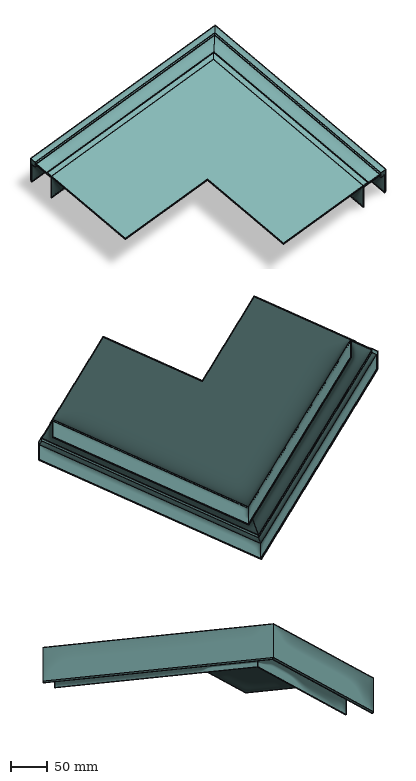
import cadquery as cq
SIZE = 347.5
HEIGHT = 50.0
MITRE_OVERSHOOT = 3.5

FRAME_WIDTH = 42.7
SKIRT_THICKNESS = 2.5
SKIRT_BEVEL_HEIGHT = 2.0
SKIRT_BEVEL_WIDTH = 1.7
HEAD_WIDTH = 9.5
HEAD_DEPTH = 10.8
WEB_THICKNESS = 3.5
RECESS_DEPTH = 1.5
LEDGE_DEPTH = 0.52
LEDGE_WIDTH = 2.5
RECESS_END = 34.5
RECESS_SLOPE_WIDTH = 1.7

LEG_THICKNESS = 1.5
LEG_BOTTOM = 2.0
LINER_THICKNESS = 1.0

PLATE_THICKNESS = 2.5
PLATE_REACH = 193.0

web_bottom = HEIGHT - WEB_THICKNESS
liner_bottom = web_bottom - LINER_THICKNESS
leg_inside = FRAME_WIDTH - LEG_THICKNESS
head_bottom = HEIGHT - HEAD_DEPTH
recess_floor = HEIGHT - RECESS_DEPTH

edge_section = [
    (0, SKIRT_BEVEL_HEIGHT),
    (0, HEIGHT),
    (HEAD_WIDTH, HEIGHT),
    (HEAD_WIDTH, HEIGHT - LEDGE_DEPTH),
    (HEAD_WIDTH + LEDGE_WIDTH, HEIGHT - LEDGE_DEPTH),
    (HEAD_WIDTH + LEDGE_WIDTH, recess_floor),
    (RECESS_END - RECESS_SLOPE_WIDTH, recess_floor),
    (RECESS_END, HEIGHT),
    (FRAME_WIDTH, HEIGHT),
    (FRAME_WIDTH, LEG_BOTTOM),
    (leg_inside, LEG_BOTTOM),
    (leg_inside, web_bottom),
    (HEAD_WIDTH, web_bottom),
    (HEAD_WIDTH, head_bottom),
    (SKIRT_THICKNESS, head_bottom),
    (SKIRT_THICKNESS, 0),
    (SKIRT_BEVEL_WIDTH, 0),
]

liner_section = [
    (HEAD_WIDTH, web_bottom),
    (leg_inside, web_bottom),
    (leg_inside, liner_bottom),
    (HEAD_WIDTH, liner_bottom),
]


def mitred_arm(section):
    """Extrude an (X, Z) section along the -X side and mitre its +Y end at 45 degrees."""
    bar = cq.Workplane("XZ").polyline(section).close().extrude(-SIZE)
    beyond_mitre = (
        cq.Workplane("XY")
        .moveTo(-MITRE_OVERSHOOT, SIZE + MITRE_OVERSHOOT)
        .lineTo(SIZE, SIZE + MITRE_OVERSHOOT)
        .lineTo(SIZE, 0)
        .close()
        .extrude(HEIGHT)
    )
    return bar.cut(beyond_mitre)


def mirrored_arm(arm):
    """Reflect an arm on the -X side across the mitre plane to the +Y side."""
    return arm.mirror(cq.Vector(1, 1, 0), (0, SIZE, 0))


def cover_plate():
    """L-shaped plate that fills the corner inside the two arms, flush with their tops."""
    inner_y = SIZE - FRAME_WIDTH
    notch_y = SIZE - PLATE_REACH
    outline = [
        (FRAME_WIDTH, 0),
        (FRAME_WIDTH, inner_y),
        (SIZE, inner_y),
        (SIZE, notch_y),
        (PLATE_REACH, notch_y),
        (PLATE_REACH, 0),
    ]
    return (
        cq.Workplane("XY", origin=(0, 0, HEIGHT - PLATE_THICKNESS))
        .polyline(outline)
        .close()
        .extrude(PLATE_THICKNESS)
    )


def arm_pair(section):
    """Both arms of one section: the -X side and its reflection on the +Y side."""
    side_arm = mitred_arm(section)
    return [side_arm, mirrored_arm(side_arm)]


edge_profiles = arm_pair(edge_section)
liner_strips = arm_pair(liner_section)
plate = cover_plate()

result = cq.Compound.makeCompound(
    [body.val() for body in [*edge_profiles, *liner_strips, plate]]
)